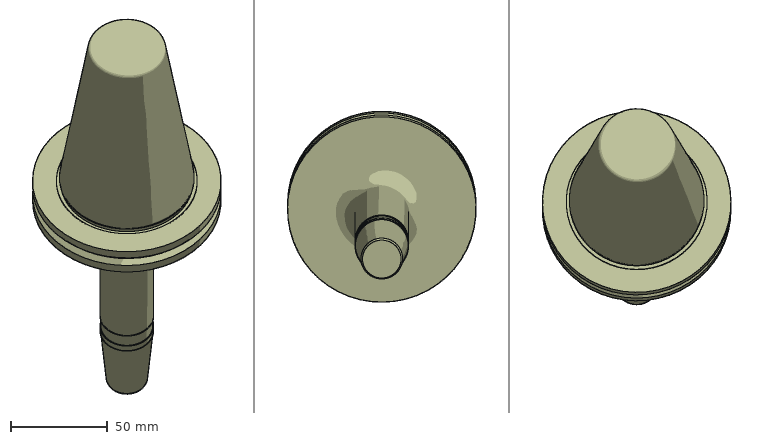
import cadquery as cq
import math

TOTAL_LENGTH = 261.8
GAUGE_Z = 160.0
FLANGE_TOP_Z = 156.8
FLANGE_BOTTOM_Z = 140.8
GROOVE_CENTRE_Z = 149.0
SHANK_BOTTOM_Z = 50.3
COLLAR_TOP_Z = 42.5
COLLAR_BOTTOM_Z = 38.5

FLANGE_RADIUS = 48.7
GAUGE_RADIUS = 34.8
SHANK_RADIUS = 14.0
RELIEF_RADIUS = 13.3
CONE_TOP_RADIUS = 13.5
NOSE_RADIUS = 10.7

TAPER_RATIO = 7 / 24
TAPER_END_FILLET = 2.0
CORNER_RELIEF_TOP_Z = 158.5
CORNER_RELIEF_INNER_RADIUS = 34.3
CORNER_RELIEF_OUTER_RADIUS = 36.5
CORNER_RELIEF_DEPTH = 0.8
GROOVE_DEPTH = 3.1
GROOVE_FLOOR_WIDTH = 2.4
GROOVE_SIDE_ANGLE = 30
ROOT_FILLET = 10.0
NOSE_CHAMFER_WIDTH = 0.8
NOSE_CHAMFER_HEIGHT = 1.5


def revolve_profile(points):
    """Revolve an (r, z) outline about the Z axis."""
    return cq.Workplane("XZ").polyline(points).close().revolve(360, (0, 0), (0, 1))


def make_taper():
    """Steep taper on a short cylindrical seat, rounded at its small end."""
    small_radius = GAUGE_RADIUS - (TOTAL_LENGTH - GAUGE_Z) * TAPER_RATIO / 2
    taper = revolve_profile([
        (0, FLANGE_BOTTOM_Z),
        (GAUGE_RADIUS, FLANGE_BOTTOM_Z),
        (GAUGE_RADIUS, GAUGE_Z),
        (small_radius, TOTAL_LENGTH),
        (0, TOTAL_LENGTH),
    ])
    return taper.faces(">Z").edges().fillet(TAPER_END_FILLET)


def make_flange():
    """Flange with a V-shaped gripper groove around its rim."""
    floor_half = GROOVE_FLOOR_WIDTH / 2
    mouth_half = floor_half + GROOVE_DEPTH * math.tan(math.radians(GROOVE_SIDE_ANGLE))
    groove_radius = FLANGE_RADIUS - GROOVE_DEPTH
    return revolve_profile([
        (0, FLANGE_BOTTOM_Z),
        (FLANGE_RADIUS, FLANGE_BOTTOM_Z),
        (FLANGE_RADIUS, GROOVE_CENTRE_Z - mouth_half),
        (groove_radius, GROOVE_CENTRE_Z - floor_half),
        (groove_radius, GROOVE_CENTRE_Z + floor_half),
        (FLANGE_RADIUS, GROOVE_CENTRE_Z + mouth_half),
        (FLANGE_RADIUS, FLANGE_TOP_Z),
        (0, FLANGE_TOP_Z),
    ])


def make_shank():
    """Shank with a filleted root, a relief, a narrow collar and a conical nose."""
    arc_centre_r = SHANK_RADIUS + ROOT_FILLET
    arc_centre_z = FLANGE_BOTTOM_Z - ROOT_FILLET
    arc_offset = ROOT_FILLET * math.sqrt(0.5)
    return (
        cq.Workplane("XZ")
        .lineTo(NOSE_RADIUS - NOSE_CHAMFER_WIDTH, 0)
        .lineTo(NOSE_RADIUS, NOSE_CHAMFER_HEIGHT)
        .lineTo(CONE_TOP_RADIUS, COLLAR_BOTTOM_Z)
        .lineTo(SHANK_RADIUS, COLLAR_BOTTOM_Z)
        .lineTo(SHANK_RADIUS, COLLAR_TOP_Z)
        .lineTo(RELIEF_RADIUS, COLLAR_TOP_Z)
        .lineTo(RELIEF_RADIUS, SHANK_BOTTOM_Z)
        .lineTo(SHANK_RADIUS, SHANK_BOTTOM_Z)
        .lineTo(SHANK_RADIUS, arc_centre_z)
        .threePointArc(
            (arc_centre_r - arc_offset, arc_centre_z + arc_offset),
            (arc_centre_r, FLANGE_BOTTOM_Z),
        )
        .lineTo(0, FLANGE_BOTTOM_Z)
        .close()
        .revolve(360, (0, 0), (0, 1))
    )


def make_corner_relief():
    """Ring cut away where the taper seat meets the flange top face."""
    floor_z = FLANGE_TOP_Z - CORNER_RELIEF_DEPTH
    return revolve_profile([
        (CORNER_RELIEF_INNER_RADIUS, floor_z),
        (CORNER_RELIEF_OUTER_RADIUS, floor_z),
        (CORNER_RELIEF_OUTER_RADIUS, CORNER_RELIEF_TOP_Z),
        (CORNER_RELIEF_INNER_RADIUS, CORNER_RELIEF_TOP_Z),
    ])


result = make_flange().union(make_taper()).union(make_shank()).cut(make_corner_relief())